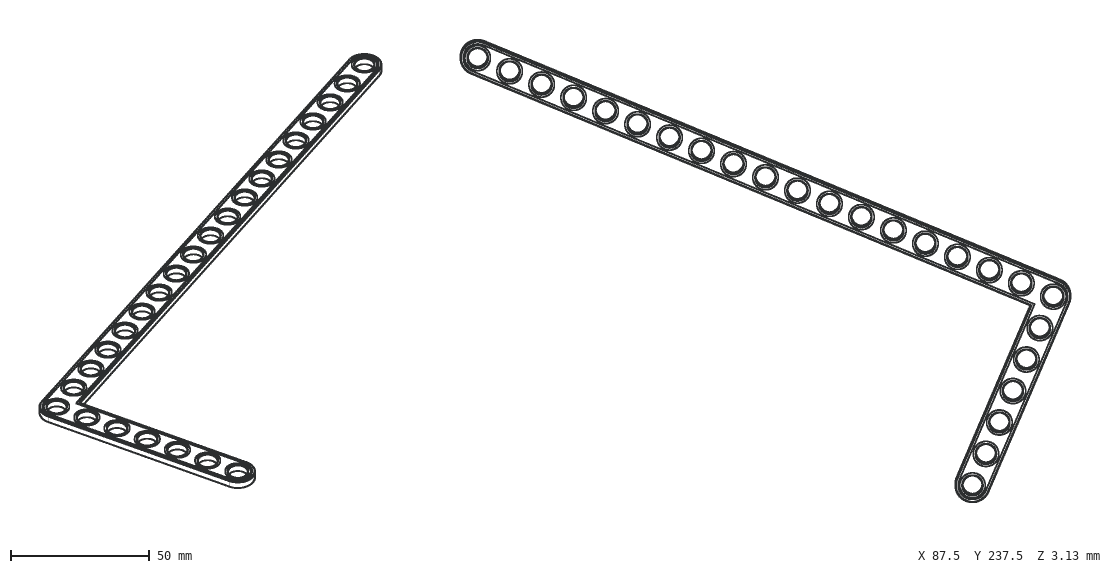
import cadquery as cq

pitch = 12.5
hole_diameter = 7.0
boss_diameter = 9.2
recess_depth = 0.2
edge_chamfer = 0.3
holes_along_x = 7
holes_along_y = 19

beam_width = pitch
border_width = (boss_diameter - hole_diameter) / 2
thickness = pitch / 4
length_x = (holes_along_x - 1) * pitch
length_y = (holes_along_y - 1) * pitch


def arm(span, angle, width, height):
    """Round-ended bar running from the corner hole at the origin along the given angle."""
    bar = cq.Workplane("XY").center(span / 2, 0).slot2D(span + width, width).extrude(height)
    return bar.rotate((0, 0, 0), (0, 0, 1), angle)


def bracket(width, height):
    """L-shaped pair of arms of the given width, standing on z = 0."""
    along_x = arm(length_x, 0, width, height)
    along_y = arm(length_y, 90, width, height)
    return along_x.union(along_y).clean()


def hole_centres():
    """Hole positions along both arms; the arms share the corner hole."""
    along_x = [(i * pitch, 0) for i in range(holes_along_x)]
    along_y = [(0, j * pitch) for j in range(1, holes_along_y)]
    return along_x + along_y


def discs(diameter, height):
    """One disc of the given diameter at every hole, standing on z = 0."""
    return cq.Workplane("XY").pushPoints(hole_centres()).circle(diameter / 2).extrude(height)


body = bracket(beam_width, thickness).cut(discs(hole_diameter, thickness))
body = body.faces("<Z or >Z").edges().chamfer(edge_chamfer)

recess = bracket(beam_width - 2 * border_width, recess_depth).cut(discs(boss_diameter, recess_depth))
body = body.cut(recess).cut(recess.translate((0, 0, thickness - recess_depth)))

result = body